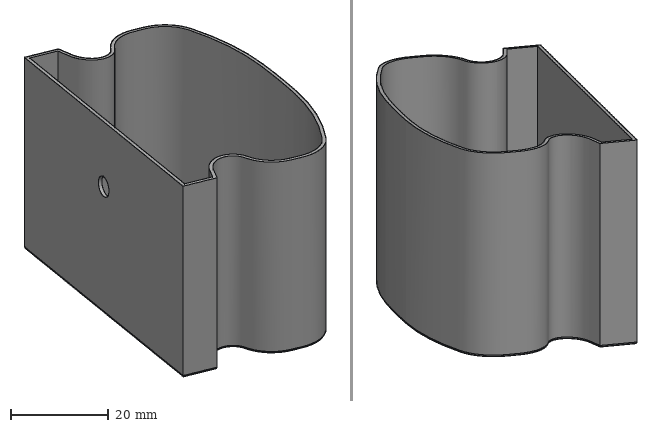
import cadquery as cq

width = 67.85
depth = 41.6
height = 44.0
wall = 0.8
floor_thickness = wall
chamfer_height = 0.4
chamfer_inset = 0.2

half_width = width / 2
block_half_width = 33.7
block_depth = 8.0

hole_diameter = 4.5
hole_height = 29.05

back_middle = (0, depth)
back_arc_ends = [
    (7.2, 41.45),
    (28.55, 36.45),
    (half_width, 28.15),
]
side_end = (half_width, 25.4)
neck_arc_ends = [
    (28.5, 17.45),
    (26.5, 12.1),
    (30.05, 9.15),
]
block_corner = (block_half_width, block_depth)


def back_crown_points():
    """Middle and end points of the crown arc, which is level where it leaves X = 0."""
    end_x, end_y = back_arc_ends[0]
    drop = depth - end_y
    radius = (end_x**2 + drop**2) / (2 * drop)
    middle_x = end_x / 2
    middle_y = depth - radius + (radius**2 - middle_x**2) ** 0.5
    return (middle_x, middle_y), (end_x, end_y)


def outline():
    """Closed outer outline: the right half is drawn and mirrored in X = 0."""
    half = cq.Workplane("XY").moveTo(*back_middle)
    half = half.threePointArc(*back_crown_points())
    for end in back_arc_ends[1:]:
        half = half.tangentArcPoint(end, relative=False)
    half = half.lineTo(*side_end)
    for end in neck_arc_ends:
        half = half.tangentArcPoint(end, relative=False)
    half = half.lineTo(*block_corner)
    return half.lineTo(block_half_width, 0).lineTo(0, 0).mirrorY()


def outer_body():
    """Solid body with the bottom edge chamfered all round."""
    body = outline().extrude(height)
    return body.faces("<Z").edges().chamfer(chamfer_height, chamfer_inset)


def cavity():
    """Interior, one wall thickness inside the outline and open at the top."""
    inner = outline().offset2D(-wall, "intersection")
    return inner.extrude(height - floor_thickness).translate((0, 0, floor_thickness))


def front_hole():
    """Cutter that passes through the front wall only."""
    return (
        cq.Workplane("XZ")
        .center(0, hole_height)
        .circle(hole_diameter / 2)
        .extrude(-2 * wall)
    )


result = outer_body().cut(cavity()).cut(front_hole())